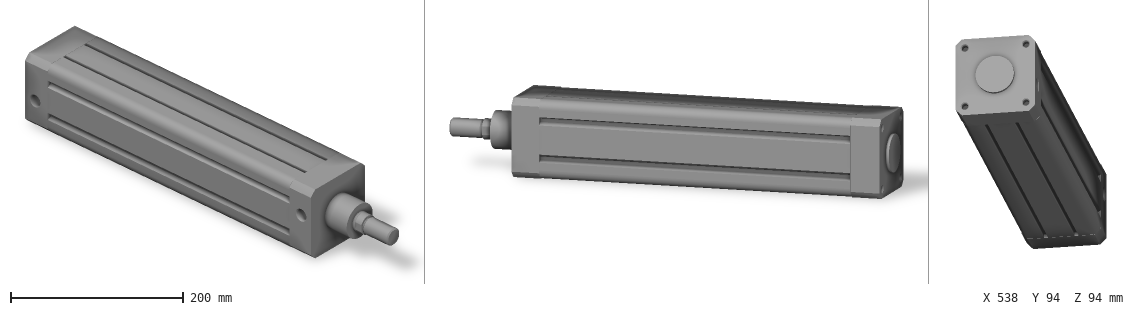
import cadquery as cq

rear_cap_start = 4.0
tube_start = 39.5
front_cap_start = 417.5
front_cap_end = 451.0
front_boss_end = 485.0
collar_end = 488.0
shoulder_end = 497.5
thread_start = 499.0
rod_tip = 538.0

cap_width = 94.0
cap_corner_radius = 61.5
boss_diameter = 45.0
port_diameter = 14.5
port_chamfer = 1.0
port_depth = 13.5
port_offset = 9.0
rear_port_x = 20.0
front_port_x = 436.0
screw_hole_diameter = 7.5
screw_hole_chamfer = 1.0
screw_hole_depth = 8.0
screw_hole_spacing = 72.0

tube_width = 93.5
tube_corner_radius = 11.0
side_groove_depth = 6.0
side_groove_outer = 27.0
side_groove_inner = 17.0
side_groove_floor_outer = 25.0
side_groove_floor_inner = 20.5
top_groove_outer = 20.5
top_groove_inner = 15.5
top_groove_depth = 4.0

collar_diameter = 25.5
collar_chamfer = 0.5
rod_diameter = 25.0
flats_width = 22.5
thread_diameter = 22.0
thread_chamfer = 1.5
neck_diameter = thread_diameter - 2 * thread_chamfer


def cylinder(diameter, start, end):
    """Round bar on the X axis between two stations."""
    return cq.Workplane("YZ", origin=(start, 0, 0)).circle(diameter / 2).extrude(end - start)


def cap_block(start, end):
    """Square block whose four corners are trimmed by a large arc."""
    block = cq.Workplane("YZ", origin=(start, 0, 0)).rect(cap_width, cap_width).extrude(end - start)
    return block.intersect(cylinder(2 * cap_corner_radius, start, end))


def blind_hole(mouth_centre, inward, diameter, depth, chamfer):
    """Blind bore running from its mouth along `inward`, with a 45-degree chamfer at the mouth."""
    bore = cq.Solid.makeCylinder(diameter / 2, depth, mouth_centre, inward)
    cone = cq.Solid.makeCone(diameter / 2 + chamfer, diameter / 2, chamfer, mouth_centre, inward)
    return bore.fuse(cone)


def port(x, z):
    """Air port bored into the -Y face of a cap."""
    mouth_centre = cq.Vector(x, -cap_width / 2, z)
    return blind_hole(mouth_centre, cq.Vector(0, 1, 0), port_diameter, port_depth, port_chamfer)


def make_rear_cap():
    cap = cap_block(rear_cap_start, tube_start)
    cap = cap.union(cylinder(boss_diameter, 0, rear_cap_start))
    cap = cap.cut(cq.Workplane(port(rear_port_x, -port_offset)))
    for y_sign in (-1, 1):
        for z_sign in (-1, 1):
            mouth_centre = cq.Vector(
                rear_cap_start, y_sign * screw_hole_spacing / 2, z_sign * screw_hole_spacing / 2
            )
            screw_hole = blind_hole(
                mouth_centre, cq.Vector(1, 0, 0), screw_hole_diameter, screw_hole_depth, screw_hole_chamfer
            )
            cap = cap.cut(cq.Workplane(screw_hole))
    return cap


def make_front_cap():
    cap = cap_block(front_cap_start, front_cap_end)
    cap = cap.union(cylinder(boss_diameter, front_cap_end, front_boss_end))
    return cap.cut(cq.Workplane(port(front_port_x, port_offset)))


def groove(section):
    """Groove along the whole tube from a closed (Y, Z) section."""
    profile = cq.Workplane("YZ", origin=(tube_start, 0, 0)).polyline(section).close()
    return profile.extrude(front_cap_start - tube_start)


def make_tube():
    length = front_cap_start - tube_start
    face = tube_width / 2
    side_floor = face - side_groove_depth
    top_floor = face - top_groove_depth
    tube = cq.Workplane("YZ", origin=(tube_start, 0, 0)).rect(tube_width, tube_width).extrude(length)
    tube = tube.edges("|X").fillet(tube_corner_radius)
    for y_sign in (-1, 1):
        for z_sign in (-1, 1):
            side_section = [
                (y_sign * face, z_sign * side_groove_inner),
                (y_sign * face, z_sign * side_groove_outer),
                (y_sign * side_floor, z_sign * side_groove_floor_outer),
                (y_sign * side_floor, z_sign * side_groove_floor_inner),
            ]
            top_section = [
                (y_sign * top_groove_inner, z_sign * face),
                (y_sign * top_groove_outer, z_sign * face),
                (y_sign * top_groove_outer, z_sign * top_floor),
                (y_sign * top_groove_inner, z_sign * top_floor),
            ]
            tube = tube.cut(groove(side_section)).cut(groove(top_section))
    return tube


def make_rod():
    collar = cylinder(collar_diameter, front_boss_end, collar_end).faces(">X").chamfer(collar_chamfer)
    shank = cylinder(rod_diameter, collar_end, shoulder_end)
    flats_length = shoulder_end - collar_end
    waste = (rod_diameter - flats_width) / 2
    for side in (-1, 1):
        flat_cut = cq.Workplane("XY").box(flats_length, waste, rod_diameter).translate(
            ((collar_end + shoulder_end) / 2, side * (flats_width + waste) / 2, 0)
        )
        shank = shank.cut(flat_cut)
    neck = cylinder(neck_diameter, shoulder_end, thread_start)
    thread = cylinder(thread_diameter, thread_start, rod_tip).faces("<X or >X").chamfer(thread_chamfer)
    return collar.union(shank).union(neck).union(thread)


rear_cap = make_rear_cap()
tube = make_tube()
front_cap = make_front_cap()
rod = make_rod()

result = cq.Compound.makeCompound([rear_cap.val(), tube.val(), front_cap.val(), rod.val()])